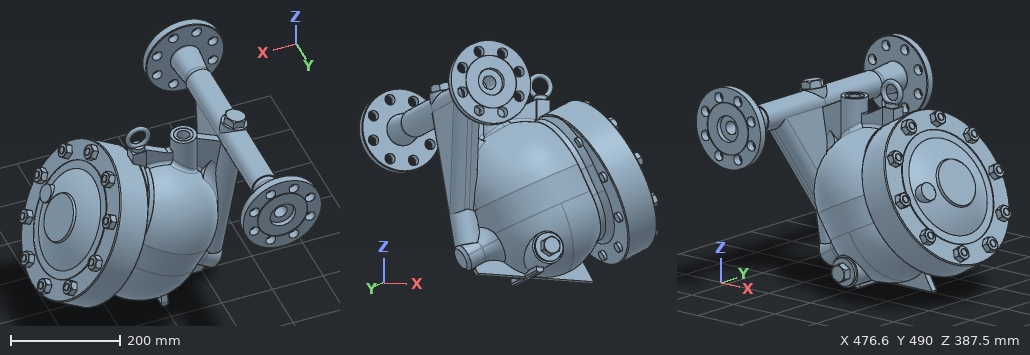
import cadquery as cq
import math


length = 490.0
pipe_d = 52.0
pipe_half_length = 159.2
weld_neck_d = 47.0
weld_neck_end = 169.5
hub_d = 59.0
hub_end = 224.0
flange_d = 155.0
flange_t = 16.5
flange_chamfer = 1.5
raised_face_d = 98.0
raised_face_t = 2.0
flange_bolt_circle_d = 119.0
flange_hole_d = 19.0
flange_hole_count = 8
socket_d = 50.0
socket_depth = 10.0
bore_d = 25.0
bore_depth = 59.0

riser_d = 50.0
riser_tilt = 10.0
riser_length = 259.5
plug_seat_top = 27.5
plug_d = 43.5
plug_top = 42.0
gusset_width = 137.0
gusset_height = 240.0
gusset_round = 20.5

stub_x, stub_z = 31.0, -281.8
stub_d = 52.0
stub_chamfer = 6.0
flare_start = 36.8
flare_end = 76.0
flare_d = 98.0
flare_sag = 7.0
stub_length = 98.0

cover_tilt = 30.0
cover_x, cover_z = 319.0, -104.5
cover_d = 305.0
cover_t = 32.0
body_flange_t = 33.0
joint_t = cover_t + body_flange_t
rim_chamfer = 2.0
shell_tilt = 26.0
shell_r = 122.5
shell_low_r = 117.0
shell_span = 54.0
shell_back = 156.5
shell_rise = 48.0
neck_back = 87.0
neck_r = 102.0
neck_low_r = 93.0
neck_low_drop = 5.0
neck_flare = 11.5

cover_ring_d = 222.5
cover_ring_t = 2.0
dome_d = 190.0
dome_mid_r, dome_mid_h = 71.5, 13.5
cover_boss_d = 90.0
cover_boss_base_d = 94.0
cover_boss_base = 22.5
cover_boss_top = 27.0
side_boss_d = 35.0
side_boss_y = -74.5
side_boss_top = 21.5

hex_face_share = 0.97

bolt_count = 10
bolt_circle_d = 263.5
stud_d = 18.0
stud_tip_d = 13.5
stud_back = 6.5
stud_front = 15.0
nut_d = 29.5
nut_h = 13.0

boss_x = 96.0
boss_d = 50.0
boss_top = 29.5
boss_foot = -68.5
boss_hole_d = 23.5
boss_hole_depth = 39.0
boss_recess_d = 36.0
boss_recess_depth = 1.0
rib_t = 16.5
rib_start_z = -15.5
rib_slope_top = 29.5
rib_low_z = 1.5
rib_ramp_x = 129.5
rib_front_bottom = -98.0
rib_inner_x = 98.0
rib_back_x, rib_back_bottom = 34.5, -196.0
boss_fillet = 8.0
top_root_from, top_root_to, top_root_fillet = 84.0, 150.0, 8.0
back_root_from, back_root_to, back_root_fillet = 140.0, 206.0, 34.5
root_depth = 14.5
root_overlap = 0.5
lug_x0, lug_x1 = 174.5, 201.0
lug_top = 24.5
lug_w = 26.5
lug_h = 49.0
eye_x, eye_z = 185.5, 51.0
eye_d = 50.0
eye_wire_d = 10.0
eye_collar_d = 25.0
eye_collar_top = 33.0

drain_x, drain_z = 162.5, -270.5
drain_d = 60.5
drain_end = 104.5
drain_ring_d = 53.5
drain_ring_end = 110.0
drain_hex_d = 36.0
drain_hex_end = 125.5

foot_z = -310.0
foot_top = -250.0
foot_t = 13.0
foot_x = 160.0
foot_edge = 3.0
foot_x0, foot_x1 = 63.5, 287.5
foot_toe_x, foot_toe_z = 57.0, -299.0
foot_heel_h = 4.0
foot_top_x0, foot_top_x1 = 88.0, 255.0
foot_half_y = 68.0
foot_side_h = 9.0
foot_top_half_y = 57.0


def direction(angle):
    """Unit vector in the XZ plane, raised by an angle above +X."""
    return (math.cos(math.radians(angle)), 0, math.sin(math.radians(angle)))


def facing(x, z, angle):
    """Workplane facing a raised direction; local x is Y and local y points up the face."""
    return cq.Workplane(cq.Plane((x, 0, z), xDir=(0, 1, 0), normal=direction(angle)))


def half_section(x, z, angle):
    """Workplane for a radial section; local y is the axis along a raised direction."""
    return cq.Workplane(cq.Plane((x, 0, z), xDir=(0, -1, 0), normal=direction(angle + 90)))


def spin(outline):
    """Revolve a closed outline about the local y axis."""
    return outline.close().revolve(360, (0, 0, 0), (0, 1, 0))


def from_cover(offset):
    """Workplane parallel to the outer face of the cover, offset outwards."""
    return facing(cover_x, cover_z, cover_tilt).workplane(offset=offset)


def hex_head(plane, diameter, height):
    """Hexagonal head whose end face is turned to a circle just inside the flats."""
    across_flats = diameter * math.cos(math.radians(30))
    chamfer = (diameter - hex_face_share * across_flats) / 2
    end_face = cq.selectors.DirectionMinMaxSelector(plane.plane.zDir, True)
    turned = plane.circle(diameter / 2).extrude(height).faces(end_face).chamfer(chamfer)
    return plane.polygon(6, diameter).extrude(height).intersect(turned)


def make_pipe_end():
    """Half of the pipe with its weld neck, flange and socket, on the +Y side."""
    half = length / 2
    face = half - raised_face_t
    back = face - flange_t
    profile = [
        (0, 0), (pipe_d / 2, 0), (pipe_d / 2, pipe_half_length), (weld_neck_d / 2, pipe_half_length),
        (weld_neck_d / 2, weld_neck_end), (hub_d / 2, hub_end), (hub_d / 2, back),
        (flange_d / 2 - flange_chamfer, back), (flange_d / 2, back + flange_chamfer), (flange_d / 2, face),
        (raised_face_d / 2, face), (raised_face_d / 2, half), (0, half),
    ]
    end = spin(cq.Workplane("XY").polyline(profile))
    outer = cq.Workplane("XZ", origin=(0, half, 0))
    holes = (
        outer.polarArray(flange_bolt_circle_d / 2, 180 / flange_hole_count, 360, flange_hole_count)
        .circle(flange_hole_d / 2).extrude(half - back)
    )
    socket = outer.circle(socket_d / 2).extrude(socket_depth)
    bore = outer.circle(bore_d / 2).extrude(bore_depth)
    return end.cut(holes).cut(socket).cut(bore)


def make_riser():
    """Leaning tube from the plug above the pipe down to the stub, with a round-edged gusset."""
    down = facing(0, 0, riser_tilt - 90)
    up = facing(0, 0, riser_tilt + 90)
    tube = down.circle(riser_d / 2).extrude(riser_length)
    seat = up.circle(riser_d / 2).extrude(plug_seat_top)
    plug = hex_head(up.transformed(rotate=(0, 0, 30)), plug_d, plug_top)
    gusset = (
        facing(0, 0, riser_tilt).workplane(offset=-riser_d / 2)
        .polyline([(0, 0), (-gusset_width, 0), (0, -gusset_height)]).close().extrude(riser_d)
    )
    down_x, _, down_z = direction(riser_tilt - 90)
    slope = cq.Vector(gusset_height * down_x, gusset_width, gusset_height * down_z)
    gusset = gusset.edges(cq.selectors.ParallelDirSelector(slope)).fillet(gusset_round)
    return tube.union(seat).union(plug).union(gusset)


def make_stub():
    """Capped stub that flares out into the trap body."""
    r = stub_d / 2
    flare_r = flare_d / 2
    middle = ((r + flare_r) / 2 - flare_sag / 2, (flare_start + flare_end) / 2 + flare_sag / 2)
    return spin(
        half_section(stub_x, stub_z, cover_tilt)
        .lineTo(r - stub_chamfer, 0).lineTo(r, stub_chamfer).lineTo(r, flare_start)
        .threePointArc(middle, (flare_r, flare_end)).lineTo(flare_r, stub_length).lineTo(0, stub_length)
    )


def shell_center():
    """Centre of the upper part sphere of the body, in X and Z."""
    along_x, _, along_z = direction(cover_tilt)
    x = cover_x - shell_back * along_x - shell_rise * along_z
    z = cover_z - shell_back * along_z + shell_rise * along_x
    return x, z


def make_shell():
    """Egg-shaped body: two part spheres joined by a cone, about a leaning axis."""
    mid = shell_r * math.sqrt(0.5)
    low_mid = shell_low_r * math.sqrt(0.5)
    return spin(
        half_section(*shell_center(), shell_tilt + 90).moveTo(0, shell_r)
        .threePointArc((mid, mid), (shell_r, 0)).lineTo(shell_low_r, -shell_span)
        .threePointArc((low_mid, -shell_span - low_mid), (0, -shell_span - shell_low_r))
    )


def make_neck():
    """Oval neck behind the body flange, flared where it meets the flange and kept within its rim."""
    oval = (
        cq.Sketch().arc((0, shell_rise), neck_r, 0, 360)
        .arc((0, -neck_low_drop), neck_low_r, 0, 360).hull()
    )
    neck = from_cover(-neck_back).placeSketch(oval).extrude(neck_back - cover_t)
    flare = from_cover(-joint_t - neck_flare).placeSketch(oval).extrude(neck_flare, taper=-45)
    rim = from_cover(-neck_back).circle(cover_d / 2).extrude(neck_back)
    return neck.union(flare).intersect(rim)


def make_cover():
    """Body flange and cover as one disc, with the raised ring, dome and bosses of the cover."""
    disc = from_cover(-joint_t).circle(cover_d / 2).extrude(joint_t).edges().chamfer(rim_chamfer)
    ring = from_cover(0).circle(cover_ring_d / 2).extrude(cover_ring_t)
    dome = spin(
        half_section(cover_x, cover_z, cover_tilt).lineTo(dome_d / 2, 0).lineTo(dome_d / 2, cover_ring_t)
        .threePointArc((dome_mid_r, dome_mid_h), (cover_boss_base_d / 2, cover_boss_base))
        .lineTo(cover_boss_d / 2, cover_boss_top).lineTo(0, cover_boss_top)
    )
    side_boss = from_cover(0).center(side_boss_y, 0).circle(side_boss_d / 2).extrude(side_boss_top)
    return disc.union(ring).union(dome).union(side_boss)


def make_bolts():
    """Ring of studs through the joint, each with a nut on the cover."""
    bolts = []
    for index in range(bolt_count):
        turn = 360 / bolt_count * index
        y = bolt_circle_d / 2 * math.cos(math.radians(turn))
        up = bolt_circle_d / 2 * math.sin(math.radians(turn))
        back = from_cover(-joint_t - stud_back).center(y, up)
        front = from_cover(0).center(y, up)
        stud = back.circle(stud_d / 2).extrude(stud_back + joint_t)
        tip = front.circle(stud_tip_d / 2).extrude(stud_front)
        nut = hex_head(front.transformed(rotate=(0, 0, turn)), nut_d, nut_h)
        bolts.append(stud.union(tip).union(nut))
    return bolts


def make_boss():
    """Vertical boss on top of the body."""
    return cq.Workplane("XY", origin=(boss_x, 0, boss_foot)).circle(boss_d / 2).extrude(boss_top - boss_foot)


def make_shell_with_boss():
    """Body and top boss, with a fillet where the boss leaves the sphere."""
    low_corner = (boss_x - boss_d, -boss_d, boss_foot)
    high_corner = (boss_x + boss_d, boss_d, boss_top - boss_fillet)
    around_boss = cq.selectors.BoxSelector(low_corner, high_corner, boundingbox=True)
    joined = make_shell().union(make_boss())
    return joined.edges(around_boss).edges("not %CIRCLE").fillet(boss_fillet)


def make_rib():
    """Rib along the plane of symmetry and the lug at its end."""
    outline = [
        (0, rib_start_z), (boss_x, rib_slope_top), (boss_x, rib_low_z), (rib_ramp_x, rib_low_z),
        (lug_x0, lug_top), (lug_x1, lug_top), (lug_x1, rib_front_bottom),
        (rib_inner_x, rib_back_bottom), (rib_back_x, rib_back_bottom),
    ]
    rib = cq.Workplane("XZ", origin=(0, rib_t / 2, 0)).polyline(outline).close().extrude(rib_t)
    lug = (
        cq.Workplane("XY", origin=((lug_x0 + lug_x1) / 2, 0, lug_top - lug_h))
        .rect(lug_x1 - lug_x0, lug_w).extrude(lug_h)
    )
    return rib.union(lug)


def make_rib_root(start, end, fillet):
    """Fillet between the rib's sides and the sphere, swept between two angles above +X."""
    x, z = shell_center()
    plane = cq.Plane((x, 0, z), xDir=direction(start), normal=direction(start + 90))
    root_r = shell_r - root_overlap
    inner = rib_t / 2
    center_side = inner + fillet
    crest_r = math.sqrt((root_r + fillet) ** 2 - center_side ** 2)
    edge_side = center_side * root_r / (root_r + fillet)
    edge_r = crest_r * root_r / (root_r + fillet)
    middle_turn = math.atan2(crest_r, center_side) / 2
    middle_side = center_side - fillet * math.cos(middle_turn)
    middle_r = crest_r - fillet * math.sin(middle_turn)
    return (
        cq.Workplane(plane).moveTo(edge_r - root_depth, -edge_side).lineTo(edge_r, -edge_side)
        .threePointArc((middle_r, -middle_side), (crest_r, -inner)).lineTo(crest_r, inner)
        .threePointArc((middle_r, middle_side), (edge_r, edge_side)).lineTo(edge_r - root_depth, edge_side)
        .close().revolve(end - start, (0, 0, 0), (0, -1, 0))
    )


def make_boss_hole():
    """Blind hole and shallow recess in the end of the top boss."""
    top = cq.Workplane("XY", origin=(boss_x, 0, boss_top))
    recess = top.circle(boss_recess_d / 2).extrude(-boss_recess_depth)
    return top.circle(boss_hole_d / 2).extrude(-boss_hole_depth).union(recess)


def make_eye():
    """Lifting ring on a round collar."""
    collar = cq.Workplane("XY", origin=(eye_x, 0, 0)).circle(eye_collar_d / 2).extrude(eye_collar_top)
    ring_r = (eye_d - eye_wire_d) / 2
    ring = (
        cq.Workplane("XY", origin=(eye_x, 0, eye_z)).center(ring_r, 0).circle(eye_wire_d / 2)
        .revolve(360, (-ring_r, 0, 0), (-ring_r, 1, 0))
    )
    return collar.union(ring)


def make_drain():
    """Stepped boss with a hexagonal plug, facing -Y."""
    base = cq.Workplane("XZ", origin=(drain_x, 0, drain_z))
    boss = base.circle(drain_d / 2).extrude(drain_end)
    ring = base.circle(drain_ring_d / 2).extrude(drain_ring_end)
    plug = hex_head(base.transformed(rotate=(0, 0, 30)), drain_hex_d, drain_hex_end)
    return boss.union(ring).union(plug)


def make_foot():
    """Web along X and web along Y, crossing under the body, with chamfered lower edges."""
    long_outline = [
        (foot_x0, foot_z), (foot_x1, foot_z), (foot_x1, foot_z + foot_heel_h), (foot_top_x1, foot_top),
        (foot_top_x0, foot_top), (foot_toe_x, foot_toe_z),
    ]
    side_z = foot_z + foot_side_h
    cross_outline = [
        (-foot_half_y, foot_z), (foot_half_y, foot_z), (foot_half_y, side_z), (foot_top_half_y, foot_top),
        (-foot_top_half_y, foot_top), (-foot_half_y, side_z),
    ]
    long_web = cq.Workplane("XZ", origin=(0, foot_t / 2, 0)).polyline(long_outline).close().extrude(foot_t)
    cross_web = (
        cq.Workplane("YZ", origin=(foot_x - foot_t / 2, 0, 0)).polyline(cross_outline).close().extrude(foot_t)
    )
    long_web = long_web.faces("<Z").edges("|X").chamfer(foot_edge)
    cross_web = cross_web.faces("<Z").edges("|Y").chamfer(foot_edge)
    return long_web.union(cross_web)


body = make_shell_with_boss().union(make_neck()).union(make_rib())
body = body.union(make_rib_root(top_root_from, top_root_to, top_root_fillet))
body = body.union(make_rib_root(back_root_from, back_root_to, back_root_fillet))
pipe_end = make_pipe_end()
result = pipe_end.union(pipe_end.mirror("XZ"))
pieces = [make_riser(), make_stub(), body, make_cover(), make_eye(), make_drain(), make_foot()]
for piece in pieces + make_bolts():
    result = result.union(piece)
result = result.cut(make_boss_hole())